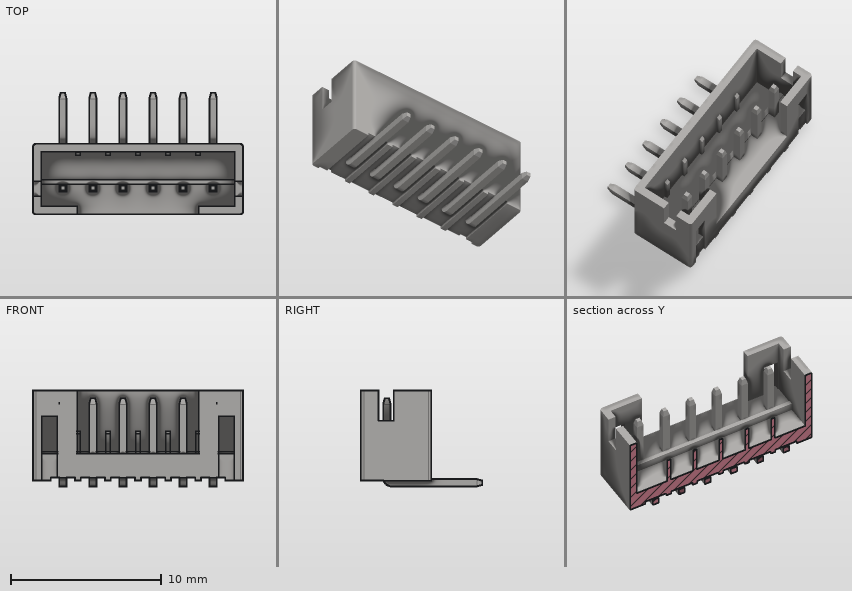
import cadquery as cq


LENGTH = 14.0
DEPTH = 4.7
HEIGHT = 6.0
WALL = 0.55
CORNER_RADIUS = 0.21

SHELF_Z = 1.8
RIDGE_Z = 1.92
RIDGE_WIDTH = 0.3
REAR_FLOOR_Z = 1.35

FRONT_OPENING_WIDTH = 8.1
SIDE_SLOT_WIDTH = 1.0
SIDE_SLOT_DEPTH = 2.0
SIDE_SLOT_FRONT_Y = 1.2
WINDOW_WIDTH = 1.04
WINDOW_EDGE = 0.6
WINDOW_TOP_Z = 4.3
WINDOW_RECESS = 0.15

RIB_WIDTH = 0.31
RIB_DEPTH = 0.21
RIB_TOP_Z = 3.3
RIB_CHAMFER = 0.18

PIN_COUNT = 6
PITCH = 2.0
PIN_SIZE = 0.5
PIN_FRONT_Y = 1.5
PIN_TOP_Z = 5.49
PIN_BOTTOM_Z = -0.39
PIN_REACH = 3.4
TIP_LENGTH = 0.39
TIP_SIZE = 0.3

NOTCH_WIDTH = 1.6
NOTCH_HEIGHT = 0.2

PIN_BACK_Y = PIN_FRONT_Y + PIN_SIZE
PIN_MID_Y = PIN_FRONT_Y + PIN_SIZE / 2
TAIL_END_Y = DEPTH + PIN_REACH
TAIL_TOP_Z = PIN_BOTTOM_Z + PIN_SIZE
BEND_RADIUS = NOTCH_HEIGHT - PIN_BOTTOM_Z
TAIL_MID_Z = PIN_BOTTOM_Z + PIN_SIZE / 2
PIN_XS = [(i - (PIN_COUNT - 1) / 2) * PITCH for i in range(PIN_COUNT)]
RIB_XS = [x + PITCH / 2 for x in PIN_XS[:-1]]


def block(x_mid, width, y_range, z_range):
    """Box centred on x_mid that fills the given Y and Z ranges."""
    y_low, y_high = y_range
    z_low, z_high = z_range
    box = cq.Workplane("XY").box(width, y_high - y_low, z_high - z_low, centered=(True, False, False))
    return box.translate((x_mid, y_low, z_low))


def cavity():
    """Open-topped space inside the walls, with the stepped floor as its underside."""
    ridge_back_y = PIN_BACK_Y + RIDGE_WIDTH
    profile = [
        (WALL, HEIGHT),
        (WALL, SHELF_Z),
        (PIN_BACK_Y, SHELF_Z),
        (PIN_BACK_Y, RIDGE_Z),
        (ridge_back_y, RIDGE_Z),
        (ridge_back_y, REAR_FLOOR_Z),
        (DEPTH - WALL, REAR_FLOOR_Z),
        (DEPTH - WALL, HEIGHT),
    ]
    inner_length = LENGTH - 2 * WALL
    return cq.Workplane("YZ").polyline(profile).close().extrude(inner_length / 2, both=True)


def corner_window(side):
    """Front wall window whose lower part is only a shallow recess (side is -1 or 1)."""
    x_mid = side * (LENGTH / 2 - WINDOW_EDGE - WINDOW_WIDTH / 2)
    through = block(x_mid, WINDOW_WIDTH, (0, WALL), (SHELF_Z, WINDOW_TOP_Z))
    recess = block(x_mid, WINDOW_WIDTH, (0, WINDOW_RECESS), (0, SHELF_Z))
    return through.union(recess)


def rib(x_mid):
    """Short rib up the inside of the rear wall, with a sloped top front edge."""
    back_y = DEPTH - WALL
    front_y = back_y - RIB_DEPTH
    bar = block(x_mid, RIB_WIDTH, (front_y, back_y), (REAR_FLOOR_Z, RIB_TOP_Z))
    return bar.faces(">Z").edges("<Y").chamfer(RIB_CHAMFER)


def make_housing():
    body = block(0, LENGTH, (0, DEPTH), (0, HEIGHT)).edges("|Z").fillet(CORNER_RADIUS)
    body = body.cut(cavity())

    body = body.cut(block(0, FRONT_OPENING_WIDTH, (0, WALL), (SHELF_Z, HEIGHT)))

    slot_y = (SIDE_SLOT_FRONT_Y, SIDE_SLOT_FRONT_Y + SIDE_SLOT_WIDTH)
    body = body.cut(block(0, LENGTH, slot_y, (HEIGHT - SIDE_SLOT_DEPTH, HEIGHT)))

    for side in (-1, 1):
        body = body.cut(corner_window(side))

    for x in RIB_XS:
        body = body.union(rib(x))

    for x in PIN_XS:
        body = body.cut(block(x, NOTCH_WIDTH, (0, DEPTH), (0, NOTCH_HEIGHT)))
        body = body.cut(block(x, PIN_SIZE, (PIN_FRONT_Y, PIN_BACK_Y), (0, SHELF_Z)))
    return body


def tapered_tip(plane):
    """Square pin end that narrows along the plane's normal."""
    tip = cq.Workplane(plane).rect(PIN_SIZE, PIN_SIZE)
    return tip.workplane(offset=TIP_LENGTH).rect(TIP_SIZE, TIP_SIZE).loft(ruled=True)


def make_pin(x):
    """Right-angle pin: upright post, rounded outer bend and a tail to the rear."""
    post_top_z = PIN_TOP_Z - TIP_LENGTH
    tail_back_y = TAIL_END_Y - TIP_LENGTH
    post = block(x, PIN_SIZE, (PIN_FRONT_Y, PIN_BACK_Y), (PIN_BOTTOM_Z, post_top_z))
    tail = block(x, PIN_SIZE, (PIN_FRONT_Y, tail_back_y), (PIN_BOTTOM_Z, TAIL_TOP_Z))

    bend_edge = cq.selectors.NearestToPointSelector((x, PIN_FRONT_Y, PIN_BOTTOM_Z))
    angle = post.union(tail).edges(bend_edge).fillet(BEND_RADIUS)

    post_tip = tapered_tip(cq.Plane((x, PIN_MID_Y, post_top_z), (1, 0, 0), (0, 0, 1)))
    tail_tip = tapered_tip(cq.Plane((x, tail_back_y, TAIL_MID_Z), (1, 0, 0), (0, 1, 0)))
    return angle.union(post_tip).union(tail_tip)


housing = make_housing()
pins = [make_pin(x) for x in PIN_XS]

result = cq.Compound.makeCompound([housing.val(), *[pin.val() for pin in pins]])